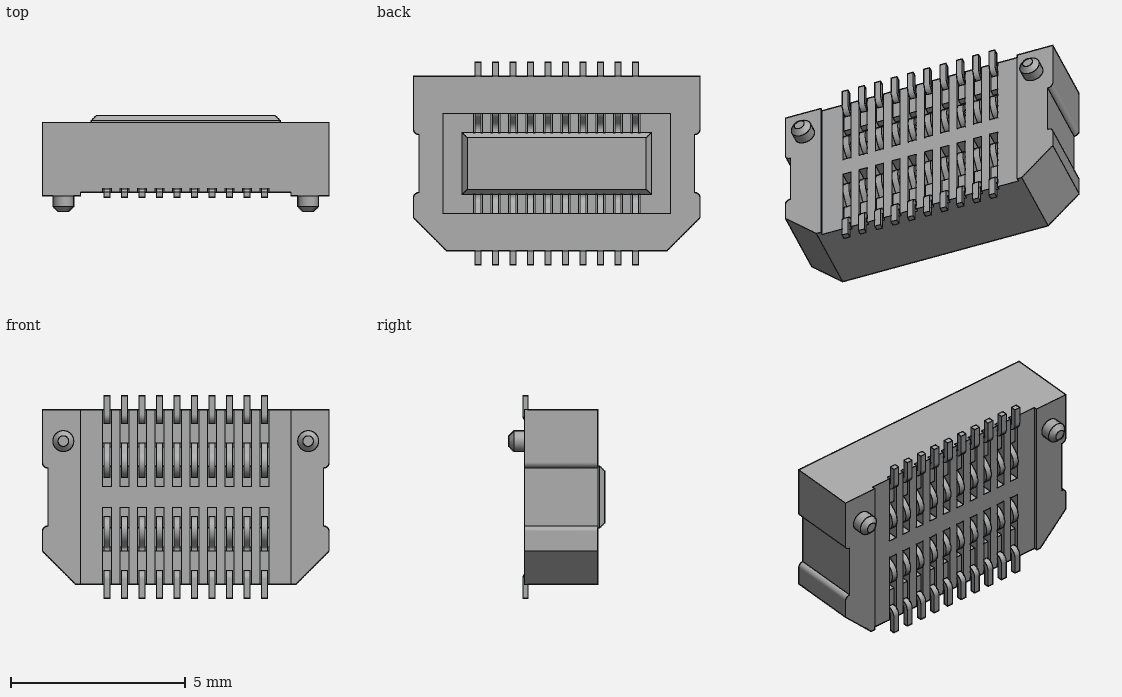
import cadquery as cq
import math


body_length = 8.2
body_height = 5.0
body_depth = 2.1
corner_chamfer = 0.95
end_pad_length = 1.09
recess_depth = 0.1
notch_depth = 0.155
notch_height = 1.66

tongue_length = 5.41
tongue_height = 1.77
tongue_rise = 0.2
tongue_chamfer = 0.15
cavity_gap = 0.54
cavity_floor = 0.57

peg_diameter = 0.6
peg_length = 0.45
peg_chamfer = 0.15
peg_edge_distance = 0.6
peg_top_distance = 0.9

contact_count = 10
contact_pitch = 0.5
slot_width = 0.25
groove_depth = 0.1
pocket_inner_z = 0.295
pocket_outer_z = 1.54
pocket_floor = 0.74

contact_width = 0.18
contact_thickness = 0.155
contact_overall_height = 5.8
foot_proud = 0.05
foot_bend_z = 2.345
spring_radius = 0.4
spring_rise = 0.08
spring_inner_z = 0.56
slope_end_z = 1.44
wall_bend_radius = 0.09
spring_slope = math.radians(48)
spring_leg_end = 0.9

half_length = body_length / 2
half_height = body_height / 2
recess_y = recess_depth
groove_floor = recess_y + groove_depth


def box(x_range, y_range, z_range):
    """Box between the given pairs of limits."""
    size = [high - low for low, high in (x_range, y_range, z_range)]
    corner = (x_range[0], y_range[0], z_range[0])
    return cq.Workplane("XY").box(*size, centered=False).translate(corner)


def polar_point(centre, radius, angle):
    """Point at a radius and angle from a centre; angles run from the first axis to the second."""
    return (centre[0] + radius * math.cos(angle), centre[1] + radius * math.sin(angle))


def centred_box(length, y_range, height):
    """Box centred on X = 0 and Z = 0."""
    return box((-length / 2, length / 2), y_range, (-height / 2, height / 2))


def make_housing():
    """Block with chamfered lower corners, rounded side notches and a recessed middle."""
    notch_x = half_length - notch_depth
    notch_z = notch_height / 2
    round_z = notch_z + notch_depth
    arc_step = notch_depth * math.sqrt(0.5)
    arc_x = notch_x + arc_step
    arc_z = round_z - arc_step
    right_half = (
        cq.Workplane("XZ")
        .moveTo(0, half_height)
        .lineTo(half_length, half_height)
        .lineTo(half_length, round_z)
        .threePointArc((arc_x, arc_z), (notch_x, notch_z))
        .lineTo(notch_x, -notch_z)
        .threePointArc((arc_x, -arc_z), (half_length, -round_z))
        .lineTo(half_length, corner_chamfer - half_height)
        .lineTo(half_length - corner_chamfer, -half_height)
        .lineTo(0, -half_height)
        .close()
        .extrude(-body_depth)
    )
    housing = right_half.union(right_half.mirror("YZ"))
    recess_length = body_length - 2 * end_pad_length
    return housing.cut(centred_box(recess_length, (0, recess_y), body_height))


def make_cavity():
    """Ring around the tongue, open toward +Y."""
    y_range = (cavity_floor, body_depth)
    outer = centred_box(tongue_length + 2 * cavity_gap, y_range, tongue_height + 2 * cavity_gap)
    return outer.cut(centred_box(tongue_length, y_range, tongue_height))


def make_tongue_tip():
    """Bevelled end of the tongue, standing out of the housing."""
    tip = centred_box(tongue_length, (cavity_floor, body_depth + tongue_rise), tongue_height)
    return tip.faces(">Y").chamfer(tongue_chamfer)


def make_peg(x):
    """Round locating peg with a chamfered end."""
    peg = cq.Workplane("XZ").circle(peg_diameter / 2).extrude(peg_length)
    peg = peg.faces("<Y").chamfer(peg_chamfer)
    return peg.translate((x, 0, half_height - peg_top_distance))


def make_slot():
    """Upper-row slot: a shallow groove to the housing edge and a deeper pocket."""
    x_range = (-slot_width / 2, slot_width / 2)
    groove = box(x_range, (recess_y, groove_floor), (pocket_outer_z, half_height))
    pocket = box(x_range, (recess_y, pocket_floor), (pocket_inner_z, pocket_outer_z))
    return groove.union(pocket)


def make_contact():
    """Upper-row contact: solder foot, riser inside the wall and spring bow ending in the tongue."""
    foot_outer_y = -foot_proud
    foot_inner_y = foot_outer_y + contact_thickness
    foot_tip_z = contact_overall_height / 2
    foot_outer_radius = groove_floor - foot_outer_y
    foot_inner_radius = foot_outer_radius - contact_thickness
    foot_bend = (groove_floor, foot_bend_z)

    bow_inner_radius = spring_radius - contact_thickness
    bow_y = recess_y - spring_rise + spring_radius
    bow_z = spring_inner_z + spring_radius
    bow = (bow_y, bow_z)
    slope_normal = math.pi - spring_slope
    slope_start_y, slope_start_z = polar_point(bow, spring_radius, slope_normal)
    slope_end_y = slope_start_y + (slope_end_z - slope_start_z) * math.tan(spring_slope)

    wall_bend = polar_point((slope_end_y, slope_end_z), wall_bend_radius, slope_normal)
    wall_bend_y, wall_bend_z = wall_bend
    wall_back_radius = wall_bend_radius + contact_thickness
    bend_start = -spring_slope
    bend_middle = bend_start / 2
    riser_front_y = wall_bend_y + wall_bend_radius
    riser_back_y = wall_bend_y + wall_back_radius
    diagonal = math.radians(-135)

    return (
        cq.Workplane("YZ")
        .moveTo(foot_outer_y, foot_tip_z)
        .lineTo(foot_outer_y, foot_bend_z)
        .threePointArc(
            polar_point(foot_bend, foot_outer_radius, diagonal),
            (groove_floor, foot_bend_z - foot_outer_radius),
        )
        .lineTo(riser_front_y, foot_bend_z - foot_outer_radius)
        .lineTo(riser_front_y, wall_bend_z)
        .threePointArc(
            polar_point(wall_bend, wall_bend_radius, bend_middle),
            polar_point(wall_bend, wall_bend_radius, bend_start),
        )
        .lineTo(slope_start_y, slope_start_z)
        .threePointArc((bow_y - spring_radius, bow_z), (bow_y, bow_z - spring_radius))
        .lineTo(spring_leg_end, bow_z - spring_radius)
        .lineTo(spring_leg_end, bow_z - bow_inner_radius)
        .lineTo(bow_y, bow_z - bow_inner_radius)
        .threePointArc(
            (bow_y - bow_inner_radius, bow_z),
            polar_point(bow, bow_inner_radius, slope_normal),
        )
        .lineTo(*polar_point(wall_bend, wall_back_radius, bend_start))
        .threePointArc(
            polar_point(wall_bend, wall_back_radius, bend_middle),
            (riser_back_y, wall_bend_z),
        )
        .lineTo(riser_back_y, foot_bend_z - foot_inner_radius)
        .lineTo(groove_floor, foot_bend_z - foot_inner_radius)
        .threePointArc(
            polar_point(foot_bend, foot_inner_radius, diagonal),
            (foot_inner_y, foot_bend_z),
        )
        .lineTo(foot_inner_y, foot_tip_z)
        .close()
        .extrude(contact_width / 2, both=True)
    )


def both_rows(upper):
    """Copies of an upper-row shape at every contact place of both rows."""
    first_x = -contact_pitch * (contact_count - 1) / 2
    copies = []
    for shape in (upper, upper.mirror("XY")):
        for index in range(contact_count):
            copies += shape.translate((first_x + index * contact_pitch, 0, 0)).vals()
    return cq.Workplane("XY").newObject([cq.Compound.makeCompound(copies)])


result = make_housing().cut(make_cavity()).union(make_tongue_tip())
result = result.cut(both_rows(make_slot()))
for side in (-1, 1):
    result = result.union(make_peg(side * (half_length - peg_edge_distance)))
result = result.union(both_rows(make_contact()))